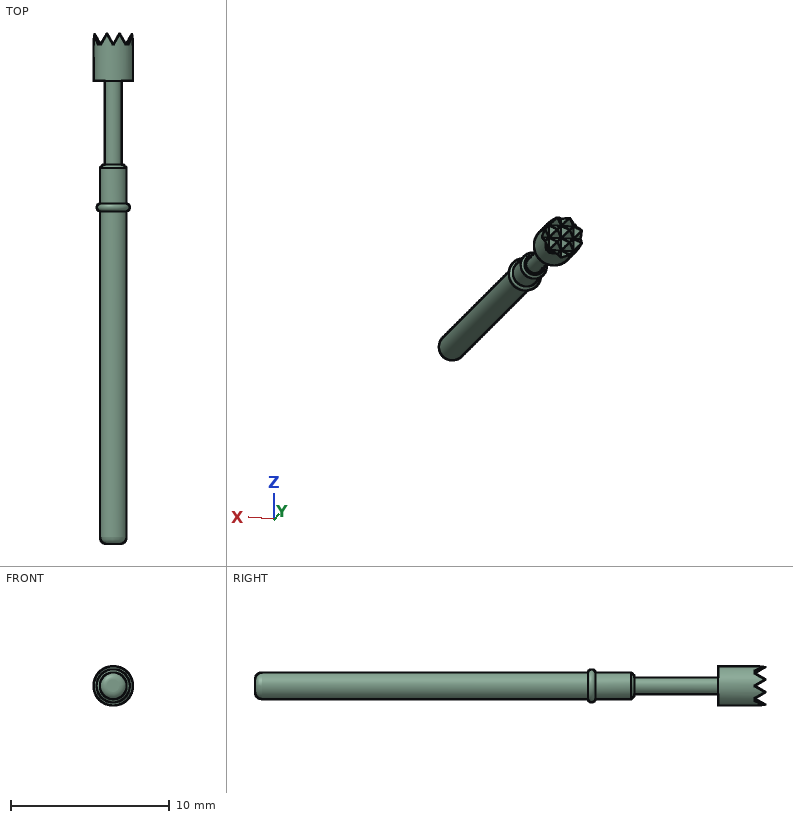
import cadquery as cq
import math

total_length = 32.3

barrel_length = 24.0
barrel_radius = 0.85
tail_rounding = 0.45
mouth_chamfer = 0.2

ring_center_y = 21.3
ring_radius = 1.05
ring_half_width = 0.25

shaft_radius = 0.54
head_length = 3.0
head_radius = 1.25
head_base_y = total_length - head_length

grooves_per_direction = 3
groove_pitch = 0.8
groove_half_width = groove_pitch / 2
groove_angle = 60
tooth_depth = groove_half_width / math.tan(math.radians(groove_angle / 2))


def make_barrel():
    """Barrel revolved about Y, with rounded tail and chamfered mouth."""
    tail_flat_radius = barrel_radius - tail_rounding
    arc_offset = tail_rounding * math.sqrt(0.5)
    arc_middle = (tail_flat_radius + arc_offset, tail_rounding - arc_offset)
    profile = (
        cq.Workplane("XY")
        .lineTo(tail_flat_radius, 0)
        .threePointArc(arc_middle, (barrel_radius, tail_rounding))
        .lineTo(barrel_radius, barrel_length - mouth_chamfer)
        .lineTo(barrel_radius - mouth_chamfer, barrel_length)
        .lineTo(0, barrel_length)
        .close()
    )
    return profile.revolve(360, (0, 0), (0, 1))


def make_press_ring():
    """Bead of half-round section; its inner edge is buried in the barrel."""
    bead_base_radius = ring_radius - ring_half_width
    profile = (
        cq.Workplane("XY")
        .moveTo(bead_base_radius, ring_center_y - ring_half_width)
        .threePointArc(
            (ring_radius, ring_center_y),
            (bead_base_radius, ring_center_y + ring_half_width),
        )
        .close()
    )
    return profile.revolve(360, (0, 0), (0, 1))


def make_plunger():
    """Slim shaft from the barrel mouth carrying the wide head."""
    profile = (
        cq.Workplane("XY")
        .moveTo(0, barrel_length - mouth_chamfer)
        .lineTo(shaft_radius, barrel_length - mouth_chamfer)
        .lineTo(shaft_radius, head_base_y)
        .lineTo(head_radius, head_base_y)
        .lineTo(head_radius, total_length)
        .lineTo(0, total_length)
        .close()
    )
    return profile.revolve(360, (0, 0), (0, 1))


def make_tooth_groove(offset):
    """V groove along Z across the head tip, centred at X = offset."""
    return (
        cq.Workplane("XY")
        .moveTo(offset - groove_half_width, total_length)
        .lineTo(offset, total_length - tooth_depth)
        .lineTo(offset + groove_half_width, total_length)
        .close()
        .extrude(2 * head_radius, both=True)
    )


def cut_crown(body):
    """Cut grooves along Z, then along X, so pyramid teeth remain."""
    for index in range(grooves_per_direction):
        offset = (index - (grooves_per_direction - 1) / 2) * groove_pitch
        groove = make_tooth_groove(offset)
        body = body.cut(groove)
        body = body.cut(groove.rotate((0, 0, 0), (0, 1, 0), 90))
    return body


plunger = cut_crown(make_plunger())
result = make_barrel().union(make_press_ring()).union(plunger)